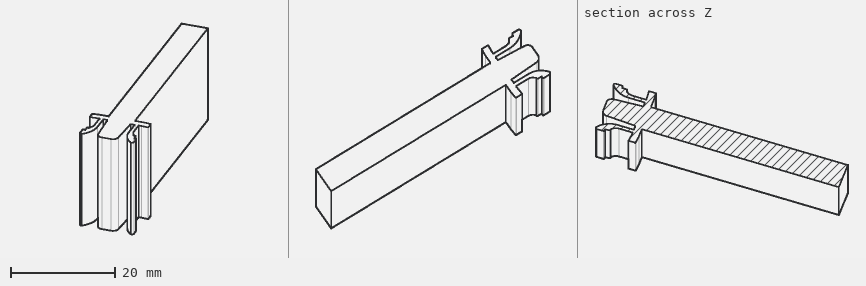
import cadquery as cq
import math

HEIGHT = 20.0
TOTAL_LENGTH = 48.5
FLANGE_WIDTH = 12.0

BLADE_WIDTH = 5.4
BLADE_LENGTH = 40.0
FLANGE_THICKNESS = 1.5
LIP_START = 4.5
LIP_ANGLE = 5.0
RIM_RADIUS = 0.1

NOSE_ROOT_WIDTH = 4.76
NOSE_DRAFT = 3.2
NOSE_RADIUS = 1.1

LEG_INNER = 3.2
LEG_THICKNESS = 0.8
LEG_INNER_STRAIGHT = 3.3
LEG_OUTER_STRAIGHT = 2.75
LEG_INNER_RADIUS = 4.7
LEG_OUTER_RADIUS = 1.75

SHOULDER_REACH = 5.0
SHOULDER_DEPTH = 4.15
BARB_REACH = 5.5
BARB_DEPTH = 5.2
CORNER_RADIUS = 0.15
TIP_RADIUS = 0.35

BLADE_END = TOTAL_LENGTH / 2
FLANGE_TOP = BLADE_END - BLADE_LENGTH
FLANGE_BOTTOM = FLANGE_TOP - FLANGE_THICKNESS
NOSE_END = -TOTAL_LENGTH / 2


def arc_offset(radius, drop):
    """Sideways shift of an arc that starts along Y, after falling by drop."""
    return radius - math.sqrt(radius**2 - drop**2)


def extrude(outline):
    """Prism of a closed outline, centred on the XY plane."""
    return outline.close().extrude(HEIGHT / 2, both=True)


def round_corner(body, x, y, radius):
    """Fillet the Z edge nearest to (x, y)."""
    corner = cq.selectors.NearestToPointSelector((x, y, 0))
    return body.edges("|Z").edges(corner).fillet(radius)


def make_blade():
    """Plain rectangular blade on the +Y side of the flange."""
    return cq.Workplane("XY").box(BLADE_WIDTH, BLADE_LENGTH, HEIGHT).translate(
        (0, BLADE_END - BLADE_LENGTH / 2, 0)
    )


def make_flange():
    """Flat flange whose outer lips tilt away from the blade."""
    tilt = math.radians(LIP_ANGLE)
    rim = FLANGE_WIDTH / 2
    rim_top = FLANGE_TOP - (rim - LIP_START) * math.tan(tilt)
    rim_bottom = rim_top - FLANGE_THICKNESS
    right_half = [
        (LIP_START, FLANGE_BOTTOM),
        (rim, rim_bottom),
        (rim, rim_top),
        (LIP_START, FLANGE_TOP),
    ]
    left_half = [(-x, y) for x, y in reversed(right_half)]
    flange = extrude(cq.Workplane("XY").polyline(right_half + left_half))
    return flange.faces("<X or >X").edges("|Z").fillet(RIM_RADIUS)


def make_nose():
    """Tapered centre tongue with a rounded end."""
    length = FLANGE_BOTTOM - NOSE_END
    root = NOSE_ROOT_WIDTH / 2
    end = root - length * math.tan(math.radians(NOSE_DRAFT))
    points = [(-root, FLANGE_BOTTOM), (-end, NOSE_END), (end, NOSE_END), (root, FLANGE_BOTTOM)]
    nose = extrude(cq.Workplane("XY").polyline(points))
    return nose.edges("|Z and <Y").fillet(NOSE_RADIUS)


def make_leg():
    """Leg on the +X side, curving outwards to a barbed tip level with the nose end."""
    outer = LEG_INNER + LEG_THICKNESS
    inner_bend = FLANGE_BOTTOM - LEG_INNER_STRAIGHT
    outer_bend = FLANGE_BOTTOM - LEG_OUTER_STRAIGHT
    shoulder = FLANGE_BOTTOM - SHOULDER_DEPTH
    barb = FLANGE_BOTTOM - BARB_DEPTH

    def inner_point(y):
        return (LEG_INNER + arc_offset(LEG_INNER_RADIUS, inner_bend - y), y)

    def outer_point(y):
        return (outer + arc_offset(LEG_OUTER_RADIUS, outer_bend - y), y)

    outline = (
        cq.Workplane("XY")
        .moveTo(LEG_INNER, FLANGE_BOTTOM)
        .lineTo(LEG_INNER, inner_bend)
        .threePointArc(inner_point((inner_bend + NOSE_END) / 2), inner_point(NOSE_END))
        .lineTo(BARB_REACH, NOSE_END)
        .lineTo(BARB_REACH, barb)
        .lineTo(SHOULDER_REACH, barb)
        .lineTo(SHOULDER_REACH, shoulder)
        .lineTo(*outer_point(shoulder))
        .threePointArc(outer_point((outer_bend + shoulder) / 2), (outer, outer_bend))
        .lineTo(outer, FLANGE_BOTTOM)
    )
    leg = extrude(outline)
    leg = round_corner(leg, SHOULDER_REACH, shoulder, CORNER_RADIUS)
    leg = round_corner(leg, BARB_REACH, barb, CORNER_RADIUS)
    return round_corner(leg, BARB_REACH, NOSE_END, TIP_RADIUS)


leg = make_leg()
result = make_blade().union(make_flange()).union(make_nose()).union(leg).union(leg.mirror("YZ"))